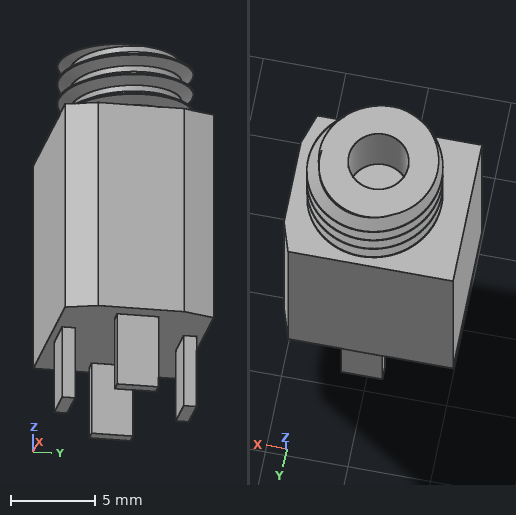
import cadquery as cq
import math

total_height = 22

body_x = 10.6
body_y = 9.0
body_height = 13.0
corner_cut_x = 0.62
corner_cut_y = 1.9

neck_height = 4.5
neck_x = 0.3
root_radius = 3.32
crest_radius = 4.05
pitch = 1.25
ridge_base = 0.88
ridge_crest = 0.09
ridge_phase = -0.1
trim_allowance = 2 * pitch
ridge_overlap = 0.13

socket_diameter = 3.6
socket_depth = neck_height
socket_x = 0.15
socket_y = -0.33

pin_length = total_height - body_height - neck_height
pin_width = 2.5
pin_thickness = 0.8
pin_left_x = -4.18
pin_right_x = 3.83
pin_y = 3.67


def make_body():
    half_x = body_x / 2
    half_y = body_y / 2
    outline = [
        (-half_x, -half_y),
        (half_x - corner_cut_x, -half_y),
        (half_x, -half_y + corner_cut_y),
        (half_x, half_y - corner_cut_y),
        (half_x - corner_cut_x, half_y),
        (-half_x, half_y),
    ]
    return cq.Workplane("XY").polyline(outline).close().extrude(body_height)


def make_ridge():
    """Right-handed helical ridge that runs past both ends of the neck (shoulder at Z = 0)."""
    start_z = ridge_phase - pitch
    turns = math.ceil((neck_height - start_z) / pitch) + 1
    flank_slope = (ridge_base - ridge_crest) / 2 / (crest_radius - root_radius)
    half_crest = ridge_crest / 2
    inner_radius = root_radius - ridge_overlap
    half_inner = half_crest + flank_slope * (crest_radius - inner_radius)
    profile = [
        (inner_radius, -half_inner),
        (crest_radius, -half_crest),
        (crest_radius, half_crest),
        (inner_radius, half_inner),
    ]
    helix = cq.Wire.makeHelix(pitch, turns * pitch, root_radius)
    ridge = cq.Workplane("XZ").polyline(profile).close().sweep(cq.Workplane(helix), isFrenet=True)
    return ridge.translate((0, 0, start_z))


def make_neck():
    """Core and ridge, joined over-long and then trimmed flat at both ends."""
    core = cq.Workplane("XY").circle(root_radius).extrude(neck_height + 2 * trim_allowance)
    threaded_rod = core.translate((0, 0, -trim_allowance)).union(make_ridge())
    envelope = cq.Workplane("XY").circle(2 * crest_radius).extrude(neck_height)
    return threaded_rod.intersect(envelope).translate((neck_x, 0, body_height))


def make_pin(x, y, size_x, size_y):
    return cq.Workplane("XY").center(x, y).rect(size_x, size_y).extrude(-pin_length)


result = make_body().union(make_neck())

for x in (pin_left_x, pin_right_x):
    result = result.union(make_pin(x, 0, pin_thickness, pin_width))
for y in (-pin_y, pin_y):
    result = result.union(make_pin(neck_x, y, pin_width, pin_thickness))

socket = (
    cq.Workplane("XY", origin=(socket_x, socket_y, body_height + neck_height))
    .circle(socket_diameter / 2)
    .extrude(-socket_depth)
)
result = result.cut(socket)